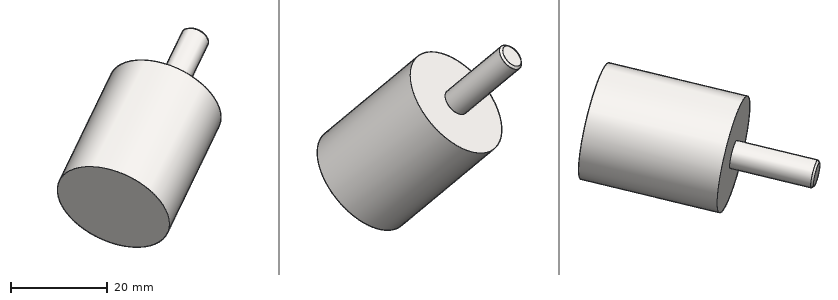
import cadquery as cq

total_length = 48.0
buffer_diameter = 25.0
buffer_length = 30.0
stud_diameter = 6.0
tip_chamfer = 0.5

stud_length = total_length - buffer_length


def cylinder_along_y(diameter, length, start_y):
    """Solid cylinder on the Y axis, running from start_y toward +Y."""
    plane = cq.Workplane("XZ", origin=(0, start_y, 0))
    return plane.circle(diameter / 2).extrude(-length)


def make_buffer():
    """Plain round buffer block with its front face at Y = 0."""
    return cylinder_along_y(buffer_diameter, buffer_length, 0)


def make_stud():
    """Stud standing on the rear face of the buffer, with a chamfered free end."""
    stud = cylinder_along_y(stud_diameter, stud_length, buffer_length)
    return stud.faces(">Y").chamfer(tip_chamfer)


buffer = make_buffer()
stud = make_stud()

result = cq.Compound.makeCompound([buffer.val(), stud.val()])